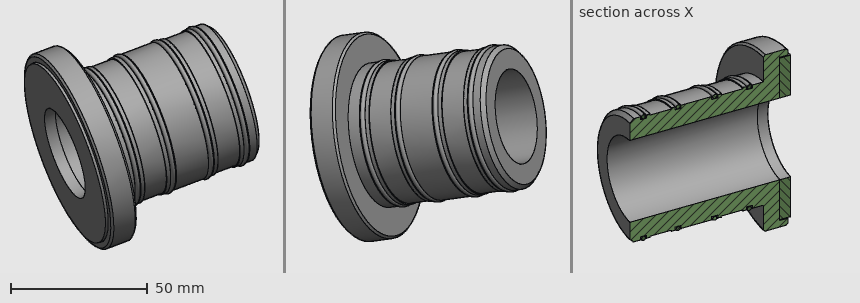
import cadquery as cq

TOTAL_LENGTH = 66.7
BORE_RADIUS = 17.5

FLANGE_RADIUS = 38.1
FLANGE_BACK_Y = 11.35
FLANGE_CHAMFER = 0.85

DISC_RADIUS = 34.9
DISC_RADIAL_GAP = 0.15
DISC_THICKNESS = 4.4
DISC_PROTRUSION = 1.1

SLEEVE_RADIUS = 26.7
SLEEVE_END_CHAMFER = 1.6

RING_SECTION_RADIUS = 0.9
RING_OUTER_RADIUS = 27.2
RING_SPACING = 14.3
RING_GROOVE_WIDTH = 2.4
PAIR_CENTERS_Y = (24.2, 53.8)
RELIEF_WIDTH = 8.85
RELIEF_DEPTH = 0.45

RING_CENTER_RADIUS = RING_OUTER_RADIUS - RING_SECTION_RADIUS
RING_GROOVE_RADIUS = RING_OUTER_RADIUS - 2 * RING_SECTION_RADIUS
RING_CENTERS_Y = [
    pair_y + side * RING_SPACING / 2
    for pair_y in PAIR_CENTERS_Y
    for side in (-1, 1)
]


def radial_plane():
    """Half-section plane: local x is the radius, local y runs along the Y axis."""
    return cq.Workplane("ZY")


def revolve_about_y(profile):
    return profile.revolve(360, (0, 0), (0, 1))


def tube(inner_radius, outer_radius, start_y, end_y):
    """Hollow cylinder around the Y axis."""
    profile = (
        radial_plane()
        .moveTo(inner_radius, start_y)
        .lineTo(outer_radius, start_y)
        .lineTo(outer_radius, end_y)
        .lineTo(inner_radius, end_y)
        .close()
    )
    return revolve_about_y(profile)


def outer_groove(floor_radius, center_y, width):
    """Cutter for a square groove around the sleeve."""
    return tube(floor_radius, FLANGE_RADIUS, center_y - width / 2, center_y + width / 2)


def make_housing():
    flange = tube(BORE_RADIUS, FLANGE_RADIUS, DISC_PROTRUSION, FLANGE_BACK_Y)
    flange = flange.edges(cq.selectors.RadiusNthSelector(-1)).chamfer(FLANGE_CHAMFER)

    sleeve = tube(BORE_RADIUS, SLEEVE_RADIUS, FLANGE_BACK_Y, TOTAL_LENGTH)
    sleeve = sleeve.faces(">Y").edges(cq.selectors.RadiusNthSelector(-1)).chamfer(SLEEVE_END_CHAMFER)

    housing = flange.union(sleeve)
    recess = tube(BORE_RADIUS, DISC_RADIUS + DISC_RADIAL_GAP, DISC_PROTRUSION, DISC_THICKNESS)
    housing = housing.cut(recess)
    for ring_y in RING_CENTERS_Y:
        housing = housing.cut(outer_groove(RING_GROOVE_RADIUS, ring_y, RING_GROOVE_WIDTH))
    for pair_y in PAIR_CENTERS_Y:
        housing = housing.cut(outer_groove(SLEEVE_RADIUS - RELIEF_DEPTH, pair_y, RELIEF_WIDTH))
    return housing


def make_thrust_disc():
    return tube(BORE_RADIUS, DISC_RADIUS, 0, DISC_THICKNESS)


def make_o_ring(center_y):
    """Round-section ring resting on the floor of its groove."""
    section = radial_plane().center(RING_CENTER_RADIUS, center_y).circle(RING_SECTION_RADIUS)
    return section.revolve(360, (-RING_CENTER_RADIUS, 0), (-RING_CENTER_RADIUS, 1))


housing = make_housing()
thrust_disc = make_thrust_disc()
o_rings = [make_o_ring(ring_y) for ring_y in RING_CENTERS_Y]

result = cq.Compound.makeCompound([
    housing.val(),
    thrust_disc.val(),
    *[o_ring.val() for o_ring in o_rings],
])